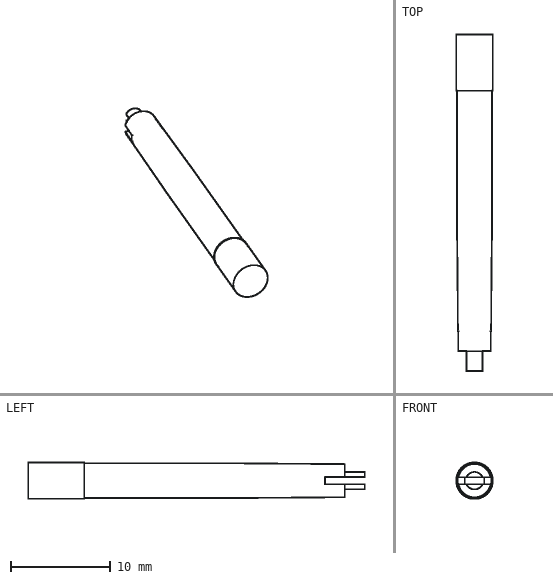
import cadquery as cq

total_length = 34.0
head_length = 5.68
pin_length = 2.0
slot_depth = 2 * pin_length
taper_length = 11.25
taper_end = pin_length + taper_length
head_start = total_length - head_length
tip_y = -total_length / 2

head_diameter = 3.7
body_diameter = 3.55
nose_diameter = 3.35
pin_diameter = 1.77

slot_width = 0.7
pocket_width = 1.95
pocket_depth = 0.35


def make_turned_body():
    """Revolve the stepped, tapered profile about the Y axis."""
    return (
        cq.Workplane("YZ")
        .moveTo(0, 0)
        .lineTo(0, pin_diameter / 2)
        .lineTo(pin_length, pin_diameter / 2)
        .lineTo(pin_length, nose_diameter / 2)
        .lineTo(taper_end, body_diameter / 2)
        .lineTo(head_start, body_diameter / 2)
        .lineTo(head_start, head_diameter / 2)
        .lineTo(total_length, head_diameter / 2)
        .lineTo(total_length, 0)
        .close()
        .revolve(360, (0, 0), (1, 0))
    )


def make_tip_cut(width, depth):
    """Box open at the tip, as high as the slot, centred on the axis."""
    return cq.Workplane("XY").box(width, depth, slot_width, centered=(True, False, True))


full_slot = make_tip_cut(head_diameter, slot_depth)
floor_pocket = make_tip_cut(pocket_width, slot_depth + pocket_depth)

result = make_turned_body().cut(full_slot).cut(floor_pocket).translate((0, tip_y, 0))